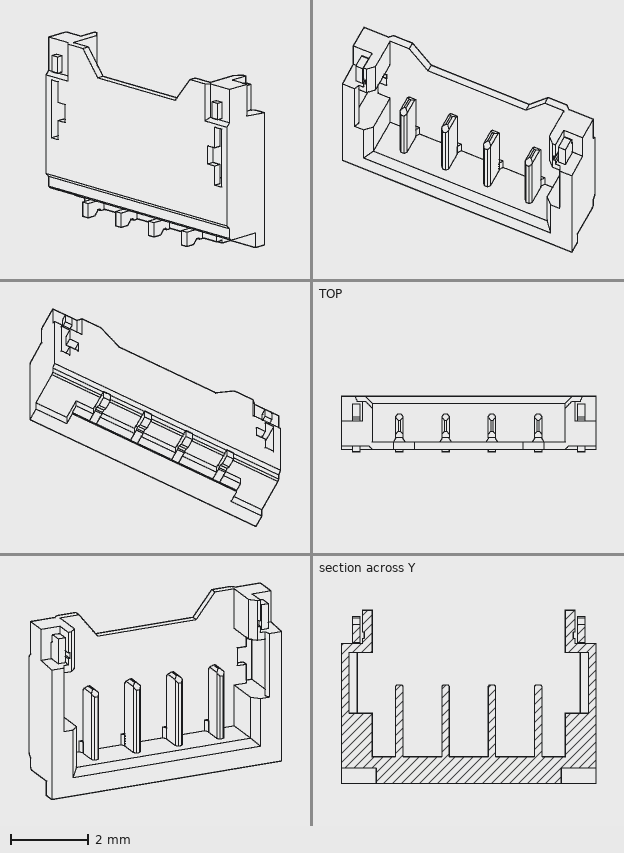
import cadquery as cq


length = 6.6
depth = 1.39
height = 4.5
half_length = length / 2
front_overhang = 0.06
foot_drop = 0.03

underside_z = 0.4
leg_front_y = 1.05
step_depth = 0.1
step_top_z = 0.82
toe_z = 0.455
toe_chamfer = 0.05
carrier_half_length = 2.4
carrier_front_y = 0.52
carrier_step_y = 0.735
carrier_step_z = 0.08

cavity_half_length = 2.5
front_wall = 0.2
floor_z = 0.7
mouth_flare = 0.19
cut_clearance = 0.5

window_sill_z = 3.82
window_sill_half = 1.41
window_top_half = 1.95

ledge_back_z = 3.59
ledge_front_z = 3.64
ledge_front_y = 0.745
post_outer_x = 2.76
post_back_y = 1.25
post_flare = 0.175
post_groove_depth = 0.05
post_groove_bottom_z = 3.77
post_groove_top_z = 3.93

slot_bottom_z = 1.83
slot_top_z = 3.4
slot_outer_x = 3.1
slot_barb_x = 2.89
slot_ramp_depth = 0.125
slot_inner_x = 2.855
slot_exit_outer_x = 2.95
latch_inner_x = 2.6
latch_bottom_z = 2.35
latch_top_z = 2.84

recess_inner_x = 2.595
recess_floor_z = 3.595
recess_depth = 0.1

nail_x = 2.915
nail_width = 0.2
nail_bottom_z = 3.65
nail_front_top_z = 4.095
nail_back_y = 1.185
nail_top_z = 4.34
nail_shoulder_y = 0.8
nail_shoulder_z = 4.13
nail_shoulder_drop = 0.04
nail_corner = 0.04

contact_count = 4
contact_pitch = 1.2
contact_width = 0.2
tail_top_z = 0.36
tail_root_y = carrier_step_y
tail_back_y = 0.434
tail_heel_y = 0.41
tail_heel_z = 0.065
arch_top_z = 0.11
arch_back_y = 0.385
arch_front_y = 0.31
foot_back_y = 0.19
blade_front_y = 0.32
blade_back_y = 0.92
blade_tip_z = 2.6
tip_front_y = 0.475
tip_back_y = 0.76
tip_half_width = 0.025
blade_corner_width = 0.055
blade_corner_depth = 0.065

rib_root_half = 0.15
rib_tip_half = 0.075
rib_top_z = 1.0


def box(x_range, y_range, z_range):
    """Box between two limits on each axis."""
    size = [limits[1] - limits[0] for limits in (x_range, y_range, z_range)]
    corner = (x_range[0], y_range[0], z_range[0])
    return cq.Workplane("XY").box(*size, centered=False).translate(corner)


def plan_prism(points, z_low, z_high):
    """Upright prism on an XY outline."""
    return cq.Workplane("XY").workplane(offset=z_low).polyline(points).close().extrude(z_high - z_low)


def side_prism(points, x_low, x_high):
    """Prism along X on a YZ outline."""
    return cq.Workplane("YZ").workplane(offset=x_low).polyline(points).close().extrude(x_high - x_low)


def front_prism(points, y_low, y_high):
    """Prism along Y on an XZ outline."""
    return cq.Workplane("XZ").workplane(offset=-y_high).polyline(points).close().extrude(y_high - y_low)


def both_ends(shape):
    """Shape at the +X end together with its mirror image at the -X end."""
    return shape.union(shape.mirror("YZ"))


def make_body():
    outline = [
        (depth, 0),
        (depth, height),
        (0, height),
        (0, step_top_z),
        (step_depth, step_top_z - step_depth),
        (step_depth, toe_z),
        (step_depth + toe_chamfer, underside_z),
        (leg_front_y, underside_z),
        (leg_front_y, 0),
    ]
    return side_prism(outline, -half_length, half_length)


def make_carrier():
    """Block under the cavity that holds the contact tails."""
    outline = [
        (leg_front_y, 0),
        (leg_front_y, underside_z),
        (carrier_front_y, underside_z),
        (carrier_front_y, carrier_step_z),
        (carrier_step_y, carrier_step_z),
        (carrier_step_y, 0),
    ]
    return side_prism(outline, -carrier_half_length, carrier_half_length)


def flared_plan(back_y, flare):
    """Plan of the cavity with its mouth widened at 45 degrees up to back_y."""
    flare_start_y = back_y - flare
    mouth_half = cavity_half_length + flare
    return [
        (-cavity_half_length, front_wall),
        (cavity_half_length, front_wall),
        (cavity_half_length, flare_start_y),
        (mouth_half, back_y),
        (mouth_half, depth + cut_clearance),
        (-mouth_half, depth + cut_clearance),
        (-mouth_half, back_y),
        (-cavity_half_length, flare_start_y),
    ]


def make_cavity():
    lower = plan_prism(flared_plan(depth, mouth_flare), floor_z - mouth_flare, slot_bottom_z)
    floor_outline = [
        (front_wall, floor_z),
        (depth - mouth_flare, floor_z),
        (depth, floor_z - mouth_flare),
        (depth, height),
        (front_wall, height),
    ]
    lower = lower.intersect(side_prism(floor_outline, -half_length, half_length))
    upper = plan_prism(flared_plan(post_back_y, post_flare), slot_bottom_z, height)
    return lower.union(upper)


def make_window():
    """Trapezoidal cut-out in the top of the front wall."""
    outline = [
        (-window_top_half, height),
        (-window_sill_half, window_sill_z),
        (window_sill_half, window_sill_z),
        (window_top_half, height),
    ]
    return front_prism(outline, 0, front_wall)


def make_post_notch():
    """Outer back corner removed above a slightly sloping ledge."""
    outline = [
        (depth, ledge_back_z),
        (depth, height),
        (ledge_front_y, height),
        (ledge_front_y, ledge_front_z),
    ]
    return side_prism(outline, post_outer_x, half_length)


def make_post_groove():
    """Shallow groove across the outer face of the post, behind the nail."""
    return box(
        (post_outer_x - post_groove_depth, post_outer_x),
        (ledge_front_y, post_back_y),
        (post_groove_bottom_z, post_groove_top_z),
    )


def make_latch_slot():
    """Slot through the end wall with a barb on its outer side and an open exit at the back."""
    plan = [
        (slot_outer_x, 0),
        (slot_outer_x, post_back_y - slot_ramp_depth),
        (slot_barb_x, post_back_y),
        (cavity_half_length, post_back_y),
        (cavity_half_length, front_wall),
        (slot_inner_x, front_wall),
        (slot_inner_x, 0),
    ]
    slot = plan_prism(plan, slot_bottom_z, slot_top_z)
    exit_plan = [
        (cavity_half_length, post_back_y),
        (slot_barb_x, post_back_y),
        (slot_exit_outer_x, depth),
        (cavity_half_length, depth),
    ]
    back_exit = plan_prism(exit_plan, slot_bottom_z, height)
    latch_window = box((latch_inner_x, slot_inner_x), (0, front_wall), (latch_bottom_z, latch_top_z))
    return slot.union(back_exit).union(latch_window)


def make_front_recess():
    """Corner recess in the front face with 45 degree sides."""
    block = box(
        (recess_inner_x - recess_depth, half_length),
        (0, recess_depth),
        (recess_floor_z - recess_depth, height),
    )
    side = [
        (recess_inner_x - recess_depth, 0),
        (recess_inner_x, recess_depth),
        (half_length, recess_depth),
        (half_length, 0),
    ]
    floor = [
        (0, recess_floor_z - recess_depth),
        (recess_depth, recess_floor_z),
        (recess_depth, height),
        (0, height),
    ]
    block = block.intersect(plan_prism(side, 0, height))
    return block.intersect(side_prism(floor, 0, half_length))


def make_nail():
    """Metal nail that stands out in front of and behind the end post."""
    x_range = (nail_x - nail_width / 2, nail_x + nail_width / 2)
    front = box(x_range, (-front_overhang, recess_depth), (nail_bottom_z, nail_front_top_z))
    outline = [
        (nail_back_y, nail_bottom_z),
        (nail_back_y, nail_top_z),
        (nail_shoulder_y + nail_corner, nail_top_z),
        (nail_shoulder_y, nail_top_z - nail_corner),
        (nail_shoulder_y, nail_shoulder_z),
        (ledge_front_y, nail_shoulder_z - nail_shoulder_drop),
        (ledge_front_y, nail_bottom_z),
    ]
    return front.union(side_prism(outline, *x_range))


def make_tail():
    outline = [
        (tail_back_y, underside_z),
        (tail_back_y, tail_top_z),
        (-front_overhang, tail_top_z),
        (-front_overhang, -foot_drop),
        (foot_back_y, -foot_drop),
        (arch_front_y, arch_top_z),
        (arch_back_y, arch_top_z),
        (tail_heel_y, tail_heel_z),
        (tail_root_y, tail_heel_z),
        (tail_root_y, underside_z),
    ]
    return side_prism(outline, -contact_width / 2, contact_width / 2)


def make_blade():
    """Upright contact blade with chamfered back corners and a tip sloping at 45 degrees on all sides."""
    half = contact_width / 2
    plan = [
        (-half, blade_front_y),
        (half, blade_front_y),
        (half, blade_back_y - blade_corner_depth),
        (half - blade_corner_width, blade_back_y),
        (blade_corner_width - half, blade_back_y),
        (-half, blade_back_y - blade_corner_depth),
    ]
    front_drop = tip_front_y - blade_front_y
    back_drop = blade_back_y - tip_back_y
    side_drop = half - tip_half_width
    side_view = [
        (blade_front_y, 0),
        (blade_front_y, blade_tip_z - front_drop),
        (tip_front_y, blade_tip_z),
        (tip_back_y, blade_tip_z),
        (blade_back_y, blade_tip_z - back_drop),
        (blade_back_y, 0),
    ]
    front_view = [
        (-half, 0),
        (-half, blade_tip_z - side_drop),
        (-tip_half_width, blade_tip_z),
        (tip_half_width, blade_tip_z),
        (half, blade_tip_z - side_drop),
        (half, 0),
    ]
    blade = plan_prism(plan, underside_z, blade_tip_z)
    blade = blade.intersect(side_prism(side_view, -half, half))
    return blade.intersect(front_prism(front_view, blade_front_y, blade_back_y))


def make_rib():
    plan = [
        (-rib_root_half, front_wall),
        (rib_root_half, front_wall),
        (rib_tip_half, blade_front_y),
        (-rib_tip_half, blade_front_y),
    ]
    return plan_prism(plan, floor_z, rib_top_z)


result = make_body().union(make_carrier())
result = result.cut(make_cavity()).cut(make_window())
for end_cut in (make_post_notch(), make_post_groove(), make_latch_slot(), make_front_recess()):
    result = result.cut(both_ends(end_cut))
result = result.union(both_ends(make_nail()))

contact = make_tail().union(make_blade()).union(make_rib())
for index in range(contact_count):
    contact_x = (index - (contact_count - 1) / 2) * contact_pitch
    result = result.union(contact.translate((contact_x, 0, 0)))